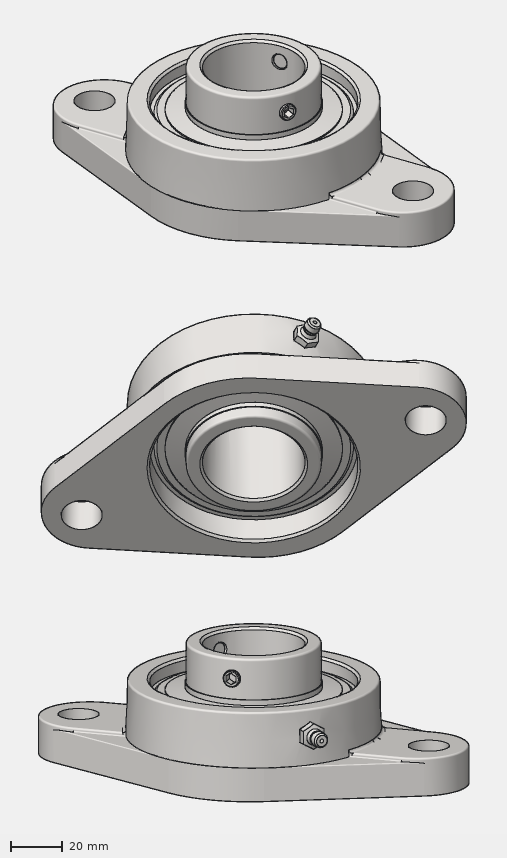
import cadquery as cq
import math


FLANGE_LENGTH = 175.0
FLANGE_WIDTH = 100.0
END_RADIUS = 20.0
END_CENTRE_X = FLANGE_LENGTH / 2 - END_RADIUS
SIDE_RADIUS = 45.0
SIDE_CENTRE_Y = FLANGE_WIDTH / 2 - SIDE_RADIUS
WEB_HEIGHT = 13.7
PAD_HEIGHT = 15.3
PAD_EDGE_FILLET = 0.8
PAD_FOOT_FILLET = 0.5
WEB_EDGE_FILLET = 0.4
BOLT_HOLE_DIAMETER = 16.0
BOLT_SPACING = 144.0

HOUSING_HEIGHT = 36.0
DRUM_BASE_RADIUS = 50.0
DRUM_TOP_RADIUS = 49.3
DRUM_TOP_FILLET = 0.9
DRUM_FOOT_FILLET = 1.2
BORE_RADIUS = 81.19 / 2
BORE_CHAMFER = 1.0

BEARING_CENTRE_Z = 21.0
SEAT_RADIUS = 40.0
OUTER_RING_WIDTH = 20.4
OUTER_RING_FACE_RADIUS = 37.8
OUTER_RING_EDGE_RADIUS = 38.9
SEAT_HALF_WIDTH = math.sqrt(SEAT_RADIUS**2 - OUTER_RING_EDGE_RADIUS**2)
OUTER_RING_TOP = BEARING_CENTRE_Z + OUTER_RING_WIDTH / 2
SEAL_RADIUS = 69.22 / 2
SEAL_STEP = 0.6
SEAL_EDGE_TOP = OUTER_RING_TOP + SEAL_STEP
SEAL_COLLAR_RADIUS = 53.59 / 2
SEAL_COLLAR_TOP = 34.8
SEAL_CONE_TOP = 32.6
SEAL_DEPTH = 2.0
INNER_RING_RADIUS = 52.83 / 2
INNER_RING_TOP = 51.2
INNER_RING_BOTTOM = 2.0
INNER_RING_FILLET = 1.0
SHAFT_RADIUS = 20.0
SHAFT_CHAMFER = 1.0

SCREW_ANGLES = (90.0, -30.0)
SCREW_DIAMETER = 6.78
SCREW_END_DIAMETER = 5.99
SCREW_INSET = 8.0
SCREW_Z = INNER_RING_TOP - SCREW_INSET
SCREW_OUTER_END = 27.8
SCREW_INNER_END = 20.5
SOCKET_ACROSS_FLATS = 4.0
SOCKET_DEPTH = 4.0

NIPPLE_ANGLE = 135.0
NIPPLE_Z = 25.7
SHANK_START = 44.5
SHANK_RADIUS = 3.0
HEX_START = 49.0
HEX_SHOULDER = 52.4
HEX_END = 53.1
HEX_ACROSS_FLATS = 9.0
COLLAR_END = 54.7
COLLAR_BASE_RADIUS = 3.3
COLLAR_TIP_RADIUS = 2.7
NECK_END = 55.7
NECK_RADIUS = 2.3
HEAD_START = 56.2
HEAD_RIDGE = 56.8
HEAD_RADIUS = 3.1
TIP_SHOULDER = 58.9
TIP_SHOULDER_RADIUS = 2.9
TIP_END = 59.6
TIP_RADIUS = 2.3
GREASE_HOLE_DIAMETER = 1.5
GREASE_HOLE_DEPTH = 3.0


def across_corners(across_flats):
    return across_flats / math.cos(math.pi / 6)


def place_radially(body, angle, height):
    """Turn a body built along +Z so that it points outwards from the shaft axis."""
    pointing_along_x = body.rotate((0, 0, 0), (0, 1, 0), 90)
    return pointing_along_x.rotate((0, 0, 0), (0, 0, 1), angle).translate((0, 0, height))


def flange_outline():
    """Rounded rhombus: two end arcs and two side arcs joined by tangent lines."""
    centre_distance = math.hypot(END_CENTRE_X, SIDE_CENTRE_Y)
    slope = math.atan2(SIDE_CENTRE_Y, END_CENTRE_X) + math.asin((SIDE_RADIUS - END_RADIUS) / centre_distance)
    end_x = END_CENTRE_X + END_RADIUS * math.sin(slope)
    end_y = END_RADIUS * math.cos(slope)
    side_x = SIDE_RADIUS * math.sin(slope)
    side_y = SIDE_CENTRE_Y + SIDE_RADIUS * math.cos(slope)
    return (
        cq.Workplane("XY")
        .moveTo(end_x, end_y)
        .lineTo(side_x, side_y)
        .threePointArc((0, FLANGE_WIDTH / 2), (-side_x, side_y))
        .lineTo(-end_x, end_y)
        .threePointArc((-FLANGE_LENGTH / 2, 0), (-end_x, -end_y))
        .lineTo(-side_x, -side_y)
        .threePointArc((0, -FLANGE_WIDTH / 2), (side_x, -side_y))
        .lineTo(end_x, -end_y)
        .threePointArc((FLANGE_LENGTH / 2, 0), (end_x, end_y))
        .close()
    )


def make_pad():
    pad = cq.Workplane("XY").slot2D(FLANGE_LENGTH, 2 * END_RADIUS).extrude(PAD_HEIGHT)
    return pad.faces(">Z").edges().fillet(PAD_EDGE_FILLET)


def make_pad_foot():
    """Concave fillets along the straight sides where the pads stand on the web."""
    arc_reach = PAD_FOOT_FILLET * (1 - math.sqrt(0.5))
    fillet = (
        cq.Workplane("YZ")
        .moveTo(END_RADIUS, WEB_HEIGHT)
        .lineTo(END_RADIUS + PAD_FOOT_FILLET, WEB_HEIGHT)
        .threePointArc(
            (END_RADIUS + arc_reach, WEB_HEIGHT + arc_reach),
            (END_RADIUS, WEB_HEIGHT + PAD_FOOT_FILLET),
        )
        .close()
        .extrude(END_CENTRE_X, both=True)
    )
    outline = flange_outline().extrude(HOUSING_HEIGHT)
    return fillet.union(fillet.mirror("XZ")).intersect(outline)


def make_drum():
    drum = (
        cq.Workplane("XZ")
        .moveTo(0, WEB_HEIGHT)
        .lineTo(DRUM_BASE_RADIUS, WEB_HEIGHT)
        .lineTo(DRUM_TOP_RADIUS, HOUSING_HEIGHT)
        .lineTo(0, HOUSING_HEIGHT)
        .close()
        .revolve(360, (0, 0, 0), (0, 1, 0))
    )
    return drum.faces(">Z").edges().fillet(DRUM_TOP_FILLET)


def make_drum_foot():
    """Concave fillet ring between the drum and the two pads."""
    outer_radius = DRUM_BASE_RADIUS + DRUM_FOOT_FILLET
    arc_reach = DRUM_FOOT_FILLET * (1 - math.sqrt(0.5))
    ring = (
        cq.Workplane("XZ")
        .moveTo(BORE_RADIUS, WEB_HEIGHT)
        .lineTo(outer_radius, WEB_HEIGHT)
        .lineTo(outer_radius, PAD_HEIGHT)
        .threePointArc(
            (DRUM_BASE_RADIUS + arc_reach, PAD_HEIGHT + arc_reach),
            (DRUM_BASE_RADIUS, PAD_HEIGHT + DRUM_FOOT_FILLET),
        )
        .lineTo(BORE_RADIUS, PAD_HEIGHT + DRUM_FOOT_FILLET)
        .close()
        .revolve(360, (0, 0, 0), (0, 1, 0))
    )
    pad_strip = cq.Workplane("XY").box(FLANGE_LENGTH, 2 * END_RADIUS, HOUSING_HEIGHT)
    return ring.intersect(pad_strip)


def make_outer_ring():
    half_width = OUTER_RING_WIDTH / 2
    return (
        cq.Workplane("XZ")
        .moveTo(SEAL_RADIUS, -half_width)
        .lineTo(OUTER_RING_FACE_RADIUS, -half_width)
        .lineTo(OUTER_RING_EDGE_RADIUS, -SEAT_HALF_WIDTH)
        .threePointArc((SEAT_RADIUS, 0), (OUTER_RING_EDGE_RADIUS, SEAT_HALF_WIDTH))
        .lineTo(OUTER_RING_FACE_RADIUS, half_width)
        .lineTo(SEAL_RADIUS, half_width)
        .close()
        .revolve(360, (0, 0, 0), (0, 1, 0))
        .translate((0, 0, BEARING_CENTRE_Z))
    )


def make_housing_pocket():
    """Plain bores from both sides, ending at ledges around the spherical bearing seat."""
    seat_bottom = BEARING_CENTRE_Z - SEAT_HALF_WIDTH
    seat_top = BEARING_CENTRE_Z + SEAT_HALF_WIDTH
    mouth_radius = BORE_RADIUS + BORE_CHAMFER
    return (
        cq.Workplane("XZ")
        .lineTo(mouth_radius, 0)
        .lineTo(BORE_RADIUS, BORE_CHAMFER)
        .lineTo(BORE_RADIUS, seat_bottom)
        .lineTo(OUTER_RING_EDGE_RADIUS, seat_bottom)
        .threePointArc((SEAT_RADIUS, BEARING_CENTRE_Z), (OUTER_RING_EDGE_RADIUS, seat_top))
        .lineTo(BORE_RADIUS, seat_top)
        .lineTo(BORE_RADIUS, HOUSING_HEIGHT - BORE_CHAMFER)
        .lineTo(mouth_radius, HOUSING_HEIGHT)
        .lineTo(0, HOUSING_HEIGHT)
        .close()
        .revolve(360, (0, 0, 0), (0, 1, 0))
    )


def make_housing(nipple):
    bolt_holes = (
        cq.Workplane("XY")
        .rarray(BOLT_SPACING, 1, 2, 1)
        .circle(BOLT_HOLE_DIAMETER / 2)
        .extrude(HOUSING_HEIGHT)
    )
    web = flange_outline().extrude(WEB_HEIGHT).faces(">Z").edges().fillet(WEB_EDGE_FILLET)
    body = web.union(make_pad()).union(make_pad_foot()).union(make_drum()).union(make_drum_foot())
    return body.cut(make_housing_pocket()).cut(bolt_holes).cut(nipple)


def make_inner_ring():
    ring = (
        cq.Workplane("XY", origin=(0, 0, INNER_RING_BOTTOM))
        .circle(INNER_RING_RADIUS)
        .circle(SHAFT_RADIUS)
        .extrude(INNER_RING_TOP - INNER_RING_BOTTOM)
    )
    ring = ring.faces("<Z or >Z").edges(cq.selectors.RadiusNthSelector(-1)).fillet(INNER_RING_FILLET)
    ring = ring.faces("<Z or >Z").edges(cq.selectors.RadiusNthSelector(0)).chamfer(SHAFT_CHAMFER)
    screw_hole = cq.Workplane("XY").circle(SCREW_DIAMETER / 2).extrude(2 * INNER_RING_RADIUS)
    for angle in SCREW_ANGLES:
        ring = ring.cut(place_radially(screw_hole, angle, SCREW_Z))
    return ring


def make_upper_seal():
    """Conical shield that ends in a collar around the inner ring."""
    return (
        cq.Workplane("XZ")
        .moveTo(INNER_RING_RADIUS, OUTER_RING_TOP - SEAL_DEPTH)
        .lineTo(SEAL_RADIUS, OUTER_RING_TOP - SEAL_DEPTH)
        .lineTo(SEAL_RADIUS, SEAL_EDGE_TOP)
        .lineTo(SEAL_COLLAR_RADIUS, SEAL_CONE_TOP)
        .lineTo(SEAL_COLLAR_RADIUS, SEAL_COLLAR_TOP)
        .lineTo(INNER_RING_RADIUS, SEAL_COLLAR_TOP)
        .close()
        .revolve(360, (0, 0, 0), (0, 1, 0))
    )


def make_set_screw(angle):
    end_chamfer = (SCREW_DIAMETER - SCREW_END_DIAMETER) / 2
    screw = (
        cq.Workplane("XY", origin=(0, 0, SCREW_INNER_END))
        .circle(SCREW_DIAMETER / 2)
        .extrude(SCREW_OUTER_END - SCREW_INNER_END)
        .faces("<Z or >Z")
        .chamfer(end_chamfer)
    )
    screw = (
        screw.faces(">Z")
        .workplane()
        .polygon(6, across_corners(SOCKET_ACROSS_FLATS))
        .cutBlind(-SOCKET_DEPTH)
    )
    return place_radially(screw, angle, SCREW_Z)


def make_nipple():
    corner_radius = across_corners(HEX_ACROSS_FLATS) / 2
    turned = (
        cq.Workplane("XZ")
        .moveTo(0, SHANK_START)
        .lineTo(SHANK_RADIUS, SHANK_START)
        .lineTo(SHANK_RADIUS, HEX_START)
        .lineTo(corner_radius, HEX_START)
        .lineTo(corner_radius, HEX_SHOULDER)
        .lineTo(COLLAR_BASE_RADIUS, HEX_END)
        .lineTo(COLLAR_TIP_RADIUS, COLLAR_END)
        .lineTo(NECK_RADIUS, COLLAR_END)
        .lineTo(NECK_RADIUS, NECK_END)
        .lineTo(HEAD_RADIUS, HEAD_START)
        .lineTo(HEAD_RADIUS, HEAD_RIDGE)
        .lineTo(TIP_SHOULDER_RADIUS, TIP_SHOULDER)
        .lineTo(TIP_RADIUS, TIP_END)
        .lineTo(0, TIP_END)
        .close()
        .revolve(360, (0, 0, 0), (0, 1, 0))
    )
    hex_bar = (
        cq.Workplane("XY", origin=(0, 0, SHANK_START))
        .polygon(6, 2 * corner_radius)
        .extrude(TIP_END - SHANK_START)
    )
    nipple = turned.intersect(hex_bar)
    nipple = nipple.faces(">Z").workplane().hole(GREASE_HOLE_DIAMETER, GREASE_HOLE_DEPTH)
    return place_radially(nipple, NIPPLE_ANGLE, NIPPLE_Z)


nipple = make_nipple()
housing = make_housing(nipple)
outer_ring = make_outer_ring()
inner_ring = make_inner_ring()
upper_seal = make_upper_seal()
lower_seal = upper_seal.mirror("XY", (0, 0, BEARING_CENTRE_Z))
set_screws = [make_set_screw(angle) for angle in SCREW_ANGLES]

result = cq.Compound.makeCompound(
    [
        housing.val(),
        outer_ring.val(),
        inner_ring.val(),
        upper_seal.val(),
        lower_seal.val(),
        *[screw.val() for screw in set_screws],
        nipple.val(),
    ]
)